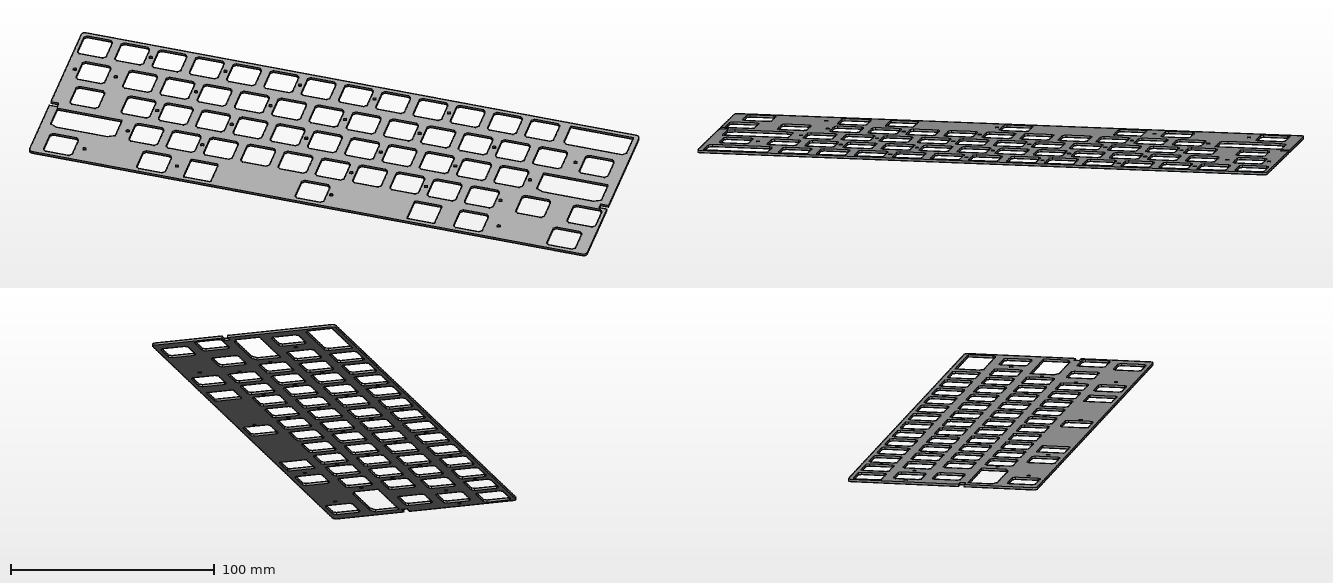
import cadquery as cq

plate_length = 285.0
plate_width = 94.6
plate_thickness = 1.2
plate_corner_radius = 2.0

key_pitch = 19.05
row_length_in_keys = 15.0
row_count = 5
spacebar_row = row_count - 1

opening_height = 14.0
switch_opening_length = 14.6
switch_corner_chamfer = 1.3
spacebar_opening_length = 14.0
spacebar_corner_chamfer = 0.5

backspace_length = 32.0
backspace_slope_run = 1.7
backspace_slope_rise = 1.7
enter_length = 33.0
enter_slope_run = 3.5
enter_slope_rise = 1.8

notch_depth = 4.0
notch_height = 2.8
notch_row = 2.5

hole_diameter = 1.62


def key_run(first, count):
    """Centres of a run of adjacent one-pitch keys."""
    return [first + i for i in range(count)]


switch_rows = [
    key_run(0.5, 13),
    [0.75] + key_run(2.0, 12) + [14.25],
    [0.875] + key_run(2.25, 11),
    key_run(2.75, 10) + [13.125, 14.5],
    [0.75, 3.25, 7.5, 11.75, 14.25],
]

spacebar_stabilizers = [4.5, 10.5]

backspace_place = (0, 14.0)
enter_place = (2, 13.875)
left_shift_place = (3, 1.125)

hole_rows = [
    [2.0, 4.0, 6.0, 8.0, 10.0],
    [0.25, 1.35, 3.5, 5.5, 7.5, 9.5, 11.5, 13.68],
    [2.75, 4.75, 6.75, 8.75, 10.75, 12.75],
    [2.25, 4.25, 8.25, 10.25, 12.25],
    [1.38, 3.86, 8.0, 12.49],
]


def grid_point(row, along):
    """Plate coordinates of a place on the key grid."""
    x = (along - row_length_in_keys / 2) * key_pitch
    y = ((row_count - 1) / 2 - row) * key_pitch
    return (x, y)


def grid_points(rows):
    return [grid_point(row, along) for row, centres in enumerate(rows) for along in centres]


def make_plate():
    plate = cq.Workplane("XY").rect(plate_length, plate_width).extrude(plate_thickness)
    return plate.edges("|Z").fillet(plate_corner_radius)


def chamfered_cutters(points, length, chamfer):
    """Rectangular cutters with all four corners chamfered."""
    cutters = cq.Workplane("XY").pushPoints(points).rect(length, opening_height).extrude(plate_thickness)
    return cutters.edges("|Z").chamfer(chamfer)


def wide_cutter(place, length, slope_run, slope_rise):
    """Wide cutter with square upper corners and sloped lower corners."""
    half_length = length / 2
    half_height = opening_height / 2
    outline = [
        (-half_length, half_height),
        (-half_length, -half_height + slope_rise),
        (-half_length + slope_run, -half_height),
        (half_length - slope_run, -half_height),
        (half_length, -half_height + slope_rise),
        (half_length, half_height),
    ]
    return (
        cq.Workplane("XY")
        .center(*grid_point(*place))
        .polyline(outline)
        .close()
        .extrude(plate_thickness)
    )


def hole_cutters():
    return (
        cq.Workplane("XY")
        .pushPoints(grid_points(hole_rows))
        .circle(hole_diameter / 2)
        .extrude(plate_thickness)
    )


def notch_cutters():
    """Cutters centred on the end faces, so half of each lies inside the plate."""
    notch_y = grid_point(notch_row, 0)[1]
    ends = [(-plate_length / 2, notch_y), (plate_length / 2, notch_y)]
    return cq.Workplane("XY").pushPoints(ends).rect(2 * notch_depth, notch_height).extrude(plate_thickness)


spacebar_points = [grid_point(spacebar_row, along) for along in spacebar_stabilizers]

result = (
    make_plate()
    .cut(chamfered_cutters(grid_points(switch_rows), switch_opening_length, switch_corner_chamfer))
    .cut(chamfered_cutters(spacebar_points, spacebar_opening_length, spacebar_corner_chamfer))
    .cut(wide_cutter(backspace_place, backspace_length, backspace_slope_run, backspace_slope_rise))
    .cut(wide_cutter(enter_place, enter_length, enter_slope_run, enter_slope_rise))
    .cut(wide_cutter(left_shift_place, enter_length, enter_slope_run, enter_slope_rise))
    .cut(hole_cutters())
    .cut(notch_cutters())
)